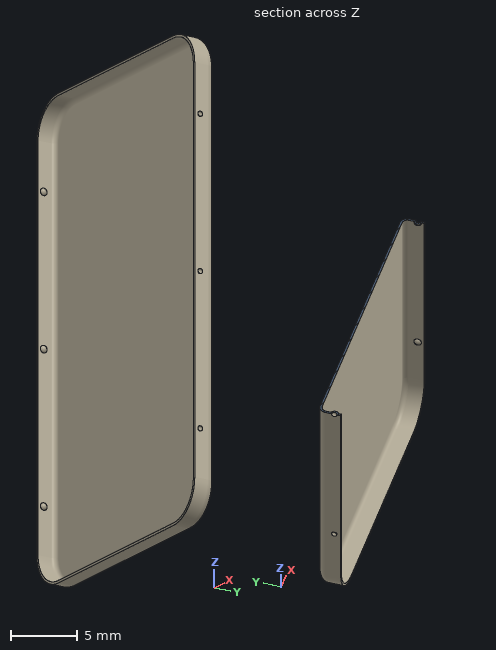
import cadquery as cq

WIDTH = 21.94
DEPTH = 1.8
HEIGHT = 38.94
CORNER_RADIUS = 3.0
EDGE_RADIUS = 0.6
WALL = 0.2

DENT_RADIUS = 0.2
BUMP_RADIUS = 0.3
DIMPLE_DEPTH = 0.2
DIMPLE_SPACING = 12.5
DIMPLE_ROWS = (-1, 0, 1)
DIMPLE_SETBACK = 0.5


def rounded_slab(inset):
    """Rounded slab with its flat rim at Y = 0, shrunk by inset on its sides and back."""
    return (
        cq.Workplane("XZ")
        .rect(WIDTH - 2 * inset, HEIGHT - 2 * inset)
        .extrude(-(DEPTH - inset))
        .edges("|Y")
        .fillet(CORNER_RADIUS - inset)
        .faces(">Y")
        .edges()
        .fillet(EDGE_RADIUS - inset)
    )


def dimple_caps(base_radius, inset):
    """Spherical caps at all dimple places, based on the side faces at inset and pointing inward."""
    base_x = WIDTH / 2 - inset
    apex_x = base_x - DIMPLE_DEPTH
    sphere_radius = (base_radius**2 + DIMPLE_DEPTH**2) / (2 * DIMPLE_DEPTH)
    cap = (
        cq.Workplane("XY")
        .moveTo(base_x, 0)
        .lineTo(apex_x, 0)
        .radiusArc((base_x, base_radius), sphere_radius)
        .close()
        .revolve(360, (0, 0), (1, 0))
        .translate((0, DIMPLE_SETBACK, 0))
    )
    pair = cap.add(cap.mirror("YZ"))
    caps = cq.Workplane("XY")
    for row in DIMPLE_ROWS:
        caps = caps.add(pair.translate((0, 0, row * DIMPLE_SPACING)))
    return caps.combine()


tray = rounded_slab(0).cut(rounded_slab(WALL))
bumped_tray = tray.union(dimple_caps(BUMP_RADIUS, WALL))
result = bumped_tray.cut(dimple_caps(DENT_RADIUS, 0))